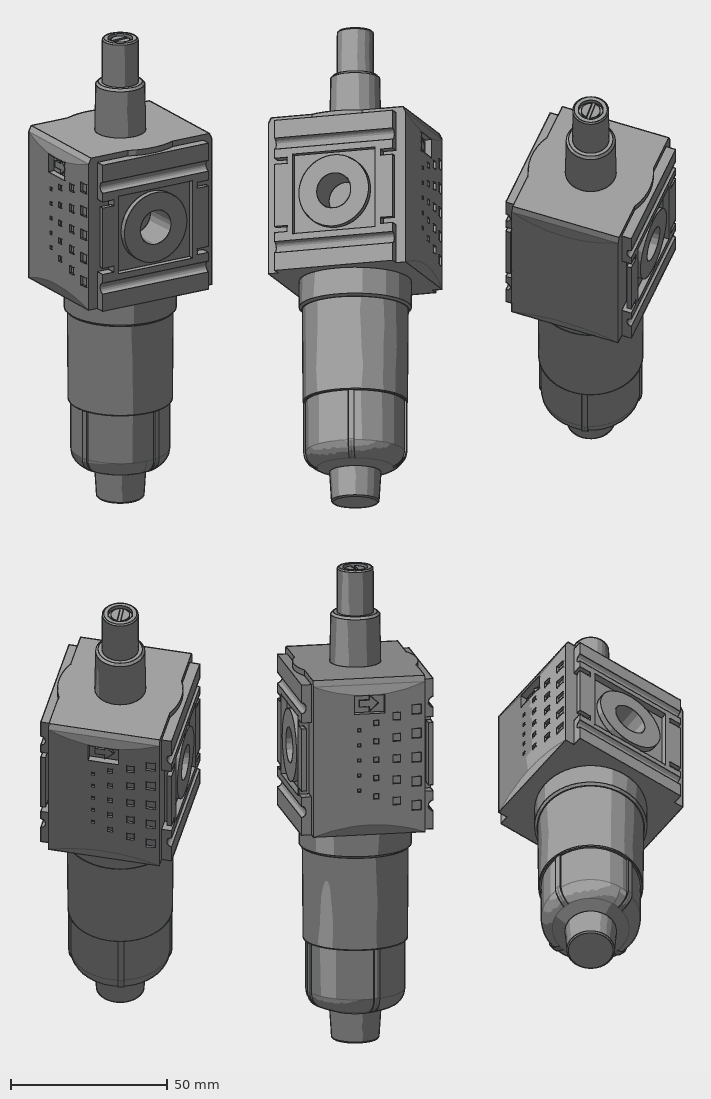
import cadquery as cq
import math

BOWL_BOTTOM_Z = 0.0
HOUSING_BOTTOM_Z = 73.0
PLATE_TOP_Z = 122.7
HOUSING_TOP_Z = 124.5
KNOB_TOP_Z = 155.7
PORT_Z = (HOUSING_BOTTOM_Z + PLATE_TOP_Z) / 2

BLOCK_HALF_WIDTH = 18.2
BLOCK_CORNER_Y = 23.2
BLOCK_CROWN_Y = 48.1 / 2
TOP_EDGE_Y = 22.3
UPPER_BEVEL_Z = 119.3
LOWER_BEVEL_Z = PORT_Z - (UPPER_BEVEL_Z - PORT_Z)
TOP_DISC_RADIUS = 20.1

PLATE_FACE_X = 21.5
PLATE_HALF_LENGTH = 20.0
GROOVE_RADIUS = 1.9
GROOVE_DEPTH = 1.5
GROOVE_OFFSET_Z = 17.1
CLIP_HALF_HEIGHT = 12.3
CLIP_SLOT_HEIGHT = 2.0
CLIP_SLOT_DEPTH = 4.2
CLIP_FLANGE = 1.5

RECESS_WIDTH = 27.9
RECESS_HEIGHT = 26.3
RECESS_DEPTH = 2.0
PORT_BOSS_DIAMETER = 23.5
PORT_DIAMETER = 11.5
PORT_DEPTH = 12.5

ARROW_POCKET_WIDTH = 10.0
ARROW_POCKET_HEIGHT = 6.0
ARROW_FLOOR_Y = -21.8
ARROW_RELIEF = 0.8
ARROW_TAIL_X = -3.1
ARROW_NECK_X = 0.2
ARROW_TIP_X = 3.1
ARROW_SHAFT_HALF = 1.1
ARROW_HEAD_HALF = 2.6

DIMPLE_COLUMNS = [(-3.5, 1.01, 5.0), (2.2, 1.7, 6.0), (8.9, 2.5, 7.0), (15.4, 3.1, 8.0)]
DIMPLE_ROWS = 5
DIMPLE_DEPTH = 0.8

COLLAR_RADIUS = 36.0 / 2
COLLAR_BOTTOM_Z = 63.7
COLLAR_CHAMFER = 0.8
SLEEVE_TOP_RADIUS = 17.0
SLEEVE_BOTTOM_RADIUS = 33.5 / 2
SLEEVE_CHAMFER = 0.3
SLEEVE_BOTTOM_Z = 33.0
SHELL_RADIUS = 15.9
SHELL_CONE_SLOPE = 20.0
SHELL_ROUND = 5.5
SPIGOT_TOP_Z = 10.0
SPIGOT_TOP_RADIUS = 8.3
SPIGOT_BOTTOM_RADIUS = 7.6
SPIGOT_CHAMFER = 0.5
RIB_COUNT = 4
RIB_ANGLE = 14.0
RIB_WIDTH = 1.9
RIB_HEIGHT = 0.6
EDGE_PICK_MARGIN = 0.2

SHOULDER_BASE_RADIUS = 16.3 / 2
SHOULDER_TOP_RADIUS = 15.7 / 2
SHOULDER_TOP_Z = 140.9
SHOULDER_CHAMFER = 0.8
STEM_BASE_RADIUS = 11.7 / 2
STEM_TOP_RADIUS = 5.8
STEM_CHAMFER = 0.5
KNOB_RECESS_DIAMETER = 8.0
KNOB_RECESS_DEPTH = 1.2
SCREW_HEAD_DIAMETER = 6.0
SCREW_HEAD_HEIGHT = 0.8
SCREW_SLOT_WIDTH = 1.1
SCREW_SLOT_ANGLE = 4.0


def box(x_range, y_range, z_range):
    """Axis-aligned box between the given limits."""
    size = [high - low for low, high in (x_range, y_range, z_range)]
    corner = (x_range[0], y_range[0], z_range[0])
    return cq.Workplane("XY").box(*size, centered=False).translate(corner)


def revolve_about_z(points):
    """Solid of revolution from a closed outline of (radius, z) points."""
    return cq.Workplane("XZ").polyline(points).close().revolve(360, (0, 0, 0), (0, 1, 0))


def block():
    """Housing block: bowed plan outline trimmed to the bevelled side outline."""
    plan = (
        cq.Workplane("XY", origin=(0, 0, HOUSING_BOTTOM_Z))
        .moveTo(-BLOCK_HALF_WIDTH, -BLOCK_CORNER_Y)
        .threePointArc((0, -BLOCK_CROWN_Y), (BLOCK_HALF_WIDTH, -BLOCK_CORNER_Y))
        .lineTo(BLOCK_HALF_WIDTH, BLOCK_CORNER_Y)
        .threePointArc((0, BLOCK_CROWN_Y), (-BLOCK_HALF_WIDTH, BLOCK_CORNER_Y))
        .close()
        .extrude(HOUSING_TOP_Z - HOUSING_BOTTOM_Z)
    )
    half_outline = [
        (BLOCK_CORNER_Y, HOUSING_BOTTOM_Z),
        (BLOCK_CROWN_Y, LOWER_BEVEL_Z),
        (BLOCK_CROWN_Y, UPPER_BEVEL_Z),
        (BLOCK_CORNER_Y, PLATE_TOP_Z),
        (TOP_EDGE_Y, HOUSING_TOP_Z),
    ]
    mirrored = [(-y, z) for y, z in reversed(half_outline)]
    side = cq.Workplane("YZ").polyline(half_outline + mirrored).close().extrude(BLOCK_HALF_WIDTH, both=True)
    return plan.intersect(side)


def top_disc():
    """Round top of the housing, which bulges over both mounting plates."""
    return (
        cq.Workplane("XY", origin=(0, 0, PLATE_TOP_Z))
        .circle(TOP_DISC_RADIUS)
        .extrude(HOUSING_TOP_Z - PLATE_TOP_Z)
    )


def plate_clip_cut(side):
    """C-shaped cut in the +X plate's edge on one Y side: two slots joined behind a thin flange."""
    edges = sorted((side * (PLATE_HALF_LENGTH - CLIP_SLOT_DEPTH), side * PLATE_HALF_LENGTH))
    cut = box(
        (BLOCK_HALF_WIDTH, PLATE_FACE_X),
        edges,
        (PORT_Z - CLIP_HALF_HEIGHT, PORT_Z + CLIP_HALF_HEIGHT),
    )
    flange_half_height = CLIP_HALF_HEIGHT - CLIP_SLOT_HEIGHT
    flange = box(
        (PLATE_FACE_X - CLIP_FLANGE, PLATE_FACE_X),
        edges,
        (PORT_Z - flange_half_height, PORT_Z + flange_half_height),
    )
    return cut.cut(flange)


def mounting_plate():
    """Plate on the +X side with its grooves, clip cuts and the recess around the port boss."""
    plate = box(
        (BLOCK_HALF_WIDTH, PLATE_FACE_X),
        (-PLATE_HALF_LENGTH, PLATE_HALF_LENGTH),
        (HOUSING_BOTTOM_Z, PLATE_TOP_Z),
    )
    groove_x = PLATE_FACE_X - GROOVE_DEPTH + GROOVE_RADIUS
    grooves = (
        cq.Workplane("XZ")
        .pushPoints([(groove_x, PORT_Z + offset) for offset in (-GROOVE_OFFSET_Z, GROOVE_OFFSET_Z)])
        .circle(GROOVE_RADIUS)
        .extrude(PLATE_HALF_LENGTH, both=True)
    )
    recess = (
        cq.Workplane("YZ", origin=(PLATE_FACE_X, 0, PORT_Z))
        .rect(RECESS_WIDTH, RECESS_HEIGHT)
        .circle(PORT_BOSS_DIAMETER / 2)
        .extrude(-RECESS_DEPTH)
    )
    plate = plate.cut(grooves).cut(recess)
    for side in (-1, 1):
        plate = plate.cut(plate_clip_cut(side))
    return plate


def port_bore():
    """Blind port on the +X side."""
    return (
        cq.Workplane("YZ", origin=(PLATE_FACE_X, 0, PORT_Z))
        .circle(PORT_DIAMETER / 2)
        .extrude(-PORT_DEPTH)
    )


def arrow_pocket():
    """Rectangular pocket in the front face, less the raised flow arrow on its floor."""
    half_width = ARROW_POCKET_WIDTH / 2
    pocket_bottom_z = UPPER_BEVEL_Z - ARROW_POCKET_HEIGHT
    pocket = box((-half_width, half_width), (-BLOCK_CROWN_Y, ARROW_FLOOR_Y), (pocket_bottom_z, UPPER_BEVEL_Z))
    arrow = (
        cq.Workplane("XZ", origin=(0, ARROW_FLOOR_Y, UPPER_BEVEL_Z - ARROW_POCKET_HEIGHT / 2))
        .polyline(
            [
                (ARROW_TAIL_X, -ARROW_SHAFT_HALF),
                (ARROW_NECK_X, -ARROW_SHAFT_HALF),
                (ARROW_NECK_X, -ARROW_HEAD_HALF),
                (ARROW_TIP_X, 0),
                (ARROW_NECK_X, ARROW_HEAD_HALF),
                (ARROW_NECK_X, ARROW_SHAFT_HALF),
                (ARROW_TAIL_X, ARROW_SHAFT_HALF),
            ]
        )
        .close()
        .extrude(ARROW_RELIEF)
    )
    return pocket.cut(arrow)


def bowed_face_y(x):
    """Y of the bowed front face at a given x."""
    rise = BLOCK_CROWN_Y - BLOCK_CORNER_Y
    radius = (BLOCK_HALF_WIDTH**2 + rise**2) / (2 * rise)
    return radius - BLOCK_CROWN_Y - math.sqrt(radius**2 - x**2)


def dimple_column(x, side, pitch):
    """One column of square dimples, centred on the port height."""
    return (
        cq.Workplane("XZ", origin=(x, bowed_face_y(x) + DIMPLE_DEPTH, PORT_Z))
        .rarray(1.5, pitch, 1, DIMPLE_ROWS)
        .rect(side, side)
        .extrude(2 * DIMPLE_DEPTH)
    )


def make_housing():
    plate = mounting_plate()
    bore = port_bore()
    housing = block().union(top_disc()).union(plate).union(plate.mirror("YZ"))
    housing = housing.cut(bore).cut(bore.mirror("YZ")).cut(arrow_pocket())
    for x, side, pitch in DIMPLE_COLUMNS:
        housing = housing.cut(dimple_column(x, side, pitch))
    return housing


def bowl_shell(radius):
    """Lower shell of the bowl: a cylinder rounded into the cone above the spigot."""
    corner_z = SPIGOT_TOP_Z + (radius - SPIGOT_TOP_RADIUS) * math.tan(math.radians(SHELL_CONE_SLOPE))
    shell = revolve_about_z(
        [
            (0, SPIGOT_TOP_Z),
            (SPIGOT_TOP_RADIUS, SPIGOT_TOP_Z),
            (radius, corner_z),
            (radius, SLEEVE_BOTTOM_Z),
            (0, SLEEVE_BOTTOM_Z),
        ]
    )
    reach = radius + EDGE_PICK_MARGIN
    corner_edge = cq.selectors.BoxSelector(
        (-reach, -reach, corner_z - EDGE_PICK_MARGIN),
        (reach, reach, corner_z + EDGE_PICK_MARGIN),
        boundingbox=True,
    )
    return shell.edges(corner_edge).fillet(SHELL_ROUND)


def bowl_ribs():
    """Low upright ribs that follow the shell's outline."""
    rib_shell = bowl_shell(SHELL_RADIUS + RIB_HEIGHT)
    slab = box((0, 2 * SHELL_RADIUS), (-RIB_WIDTH / 2, RIB_WIDTH / 2), (SPIGOT_TOP_Z, SLEEVE_BOTTOM_Z))
    rib = rib_shell.intersect(slab)
    return [
        rib.rotate((0, 0, 0), (0, 0, 1), RIB_ANGLE + index * 360 / RIB_COUNT) for index in range(RIB_COUNT)
    ]


def make_bowl():
    spigot = revolve_about_z(
        [
            (0, BOWL_BOTTOM_Z),
            (SPIGOT_BOTTOM_RADIUS - SPIGOT_CHAMFER, BOWL_BOTTOM_Z),
            (SPIGOT_BOTTOM_RADIUS, BOWL_BOTTOM_Z + SPIGOT_CHAMFER),
            (SPIGOT_TOP_RADIUS, SPIGOT_TOP_Z),
            (0, SPIGOT_TOP_Z),
        ]
    )
    sleeve_and_collar = revolve_about_z(
        [
            (0, SLEEVE_BOTTOM_Z),
            (SLEEVE_BOTTOM_RADIUS - SLEEVE_CHAMFER, SLEEVE_BOTTOM_Z),
            (SLEEVE_BOTTOM_RADIUS, SLEEVE_BOTTOM_Z + SLEEVE_CHAMFER),
            (SLEEVE_TOP_RADIUS, COLLAR_BOTTOM_Z),
            (COLLAR_RADIUS - COLLAR_CHAMFER, COLLAR_BOTTOM_Z),
            (COLLAR_RADIUS, COLLAR_BOTTOM_Z + COLLAR_CHAMFER),
            (COLLAR_RADIUS, HOUSING_BOTTOM_Z),
            (0, HOUSING_BOTTOM_Z),
        ]
    )
    bowl = bowl_shell(SHELL_RADIUS)
    for rib in bowl_ribs():
        bowl = bowl.union(rib)
    return bowl.union(spigot).union(sleeve_and_collar)


def make_knob():
    knob = revolve_about_z(
        [
            (0, HOUSING_TOP_Z),
            (SHOULDER_BASE_RADIUS, HOUSING_TOP_Z),
            (SHOULDER_TOP_RADIUS, SHOULDER_TOP_Z - SHOULDER_CHAMFER),
            (SHOULDER_TOP_RADIUS - SHOULDER_CHAMFER, SHOULDER_TOP_Z),
            (STEM_BASE_RADIUS, SHOULDER_TOP_Z),
            (STEM_TOP_RADIUS, KNOB_TOP_Z - STEM_CHAMFER),
            (STEM_TOP_RADIUS - STEM_CHAMFER, KNOB_TOP_Z),
            (0, KNOB_TOP_Z),
        ]
    )
    floor = cq.Workplane("XY", origin=(0, 0, KNOB_TOP_Z - KNOB_RECESS_DEPTH))
    recess = floor.circle(KNOB_RECESS_DIAMETER / 2).extrude(KNOB_RECESS_DEPTH)
    screw_slot = floor.rect(SCREW_SLOT_WIDTH, SCREW_HEAD_DIAMETER).extrude(SCREW_HEAD_HEIGHT)
    screw_slot = screw_slot.rotate((0, 0, 0), (0, 0, 1), SCREW_SLOT_ANGLE)
    screw_head = floor.circle(SCREW_HEAD_DIAMETER / 2).extrude(SCREW_HEAD_HEIGHT).cut(screw_slot)
    return knob.cut(recess).union(screw_head)


housing = make_housing()
bowl = make_bowl()
knob = make_knob()

result = cq.Compound.makeCompound([body.solids().val() for body in (housing, bowl, knob)])